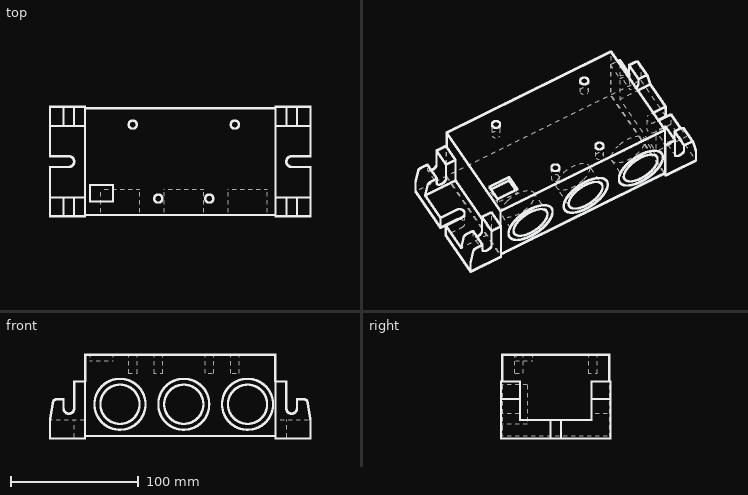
import cadquery as cq
import math

total_length = 204.38
foot_length = 27.6
body_length = total_length - 2 * foot_length
body_width = 84.0
body_bottom = 2.0
total_height = 66.0
body_height = total_height - body_bottom

foot_width = 86.0
base_thickness = 14.7
ear_width = 15.0
ear_height = 45.0
hook_height = 31.0
hook_fillet = 3.0
taper_start = 14.4
taper_angle = 9.5
slot_width = 8.2
slot_centre = 14.9
ear_slot_bottom = 19.7

pattern_x = 2.75
port_pitch = 50.0
port_height = 27.0
port_diameter = 30.75
port_depth = 20.0
port_ring_diameter = 40.0
port_ring_depth = 0.2

screw_diameter = 6.4
screw_depth = 15.0
screw_y = 29.0
rear_screw_spacing = 80.0
front_screw_spacing = 40.0

pocket_length = 18.0
pocket_width = 13.0
pocket_depth = 5.0
pocket_end_gap = 3.7
pocket_side_gap = 10.8


def make_body():
    """Plain rectangular block."""
    block = cq.Workplane("XY").box(body_length, body_width, body_height, centered=(True, True, False))
    return block.translate((0, 0, body_bottom))


def make_foot_profile():
    """Full-width foot with its outer end at X = 0, with the side outline of the ears."""
    slot_radius = slot_width / 2
    slot_outer = slot_centre - slot_radius
    slot_inner = slot_centre + slot_radius
    slot_arc_z = ear_slot_bottom + slot_radius
    taper_offset = (hook_height - taper_start) * math.tan(math.radians(taper_angle))
    profile = (
        cq.Workplane("XZ")
        .lineTo(foot_length, 0)
        .lineTo(foot_length, ear_height)
        .lineTo(slot_inner, ear_height)
        .lineTo(slot_inner, slot_arc_z)
        .threePointArc((slot_centre, ear_slot_bottom), (slot_outer, slot_arc_z))
        .lineTo(slot_outer, hook_height)
        .lineTo(taper_offset, hook_height)
        .lineTo(0, taper_start)
        .close()
        .extrude(foot_width / 2, both=True)
    )
    hook_corner = cq.selectors.NearestToPointSelector((taper_offset, 0, hook_height))
    return profile.edges(hook_corner).fillet(hook_fillet)


def make_left_foot():
    """Foot cut down to the base plate between its ears, with an open-ended slot."""
    channel = (
        cq.Workplane("XY", origin=(foot_length / 2, 0, base_thickness))
        .rect(foot_length, foot_width - 2 * ear_width)
        .extrude(ear_height - base_thickness)
    )
    slot = (
        cq.Workplane("XY")
        .slot2D(2 * slot_centre + slot_width, slot_width)
        .extrude(base_thickness)
    )
    foot = make_foot_profile().cut(channel).cut(slot)
    return foot.translate((-total_length / 2, 0, 0))


def cut_ports(part):
    """Row of three blind ports in the front face, each with a shallow spot face."""
    front_y = -body_width / 2
    for step in (-1, 0, 1):
        mouth = cq.Workplane("XZ", origin=(pattern_x + step * port_pitch, front_y, port_height))
        part = part.cut(mouth.circle(port_ring_diameter / 2).extrude(-port_ring_depth))
        part = part.cut(mouth.circle(port_diameter / 2).extrude(-port_depth))
    return part


def cut_screw_holes(part):
    """Two rows of two blind screw holes in the top face."""
    top = cq.Workplane("XY", origin=(pattern_x, 0, total_height))
    for spacing, row_y in ((rear_screw_spacing, screw_y), (front_screw_spacing, -screw_y)):
        centres = [(-spacing / 2, row_y), (spacing / 2, row_y)]
        part = part.cut(top.pushPoints(centres).circle(screw_diameter / 2).extrude(-screw_depth))
    return part


def cut_pocket(part):
    """Rectangular pocket in the top face."""
    corner_x = -body_length / 2 + pocket_end_gap
    corner_y = -body_width / 2 + pocket_side_gap
    pocket = (
        cq.Workplane("XY", origin=(corner_x, corner_y, total_height))
        .rect(pocket_length, pocket_width, centered=False)
        .extrude(-pocket_depth)
    )
    return part.cut(pocket)


left_foot = make_left_foot()
right_foot = left_foot.mirror("YZ")
part = make_body().union(left_foot).union(right_foot)
part = cut_ports(part)
part = cut_screw_holes(part)
result = cut_pocket(part)